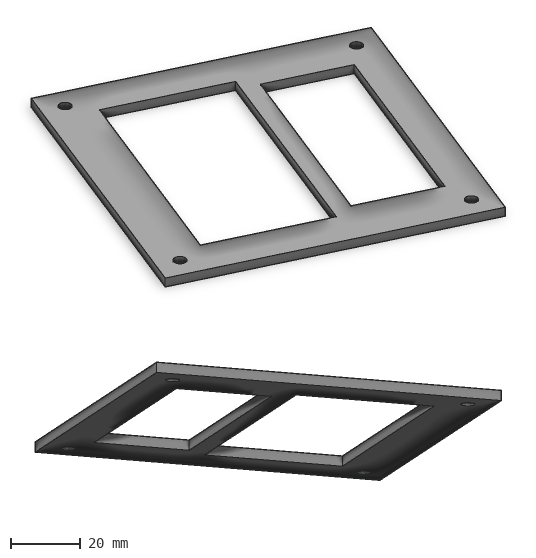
import cadquery as cq

plate_side = 105.0
plate_thickness = 3.0

hole_diameter = 4.0
hole_spacing = 90.0

upper_width = 71.0
upper_height = 29.0
upper_margin = 12.0
lower_width = 79.0
lower_height = 42.0
lower_margin = 16.0

upper_center_y = plate_side / 2 - upper_margin - upper_height / 2
lower_center_y = -plate_side / 2 + lower_margin + lower_height / 2


def cut_window(body, width, height, center_y):
    """Cut a sharp-cornered rectangular window through the plate."""
    return body.faces(">Z").workplane(origin=(0, center_y, 0)).rect(width, height).cutThruAll()


plate = cq.Workplane("XY").box(plate_side, plate_side, plate_thickness)
plate = (
    plate.faces(">Z")
    .workplane(origin=(0, 0, 0))
    .rect(hole_spacing, hole_spacing, forConstruction=True)
    .vertices()
    .hole(hole_diameter)
)
plate = cut_window(plate, upper_width, upper_height, upper_center_y)
result = cut_window(plate, lower_width, lower_height, lower_center_y)